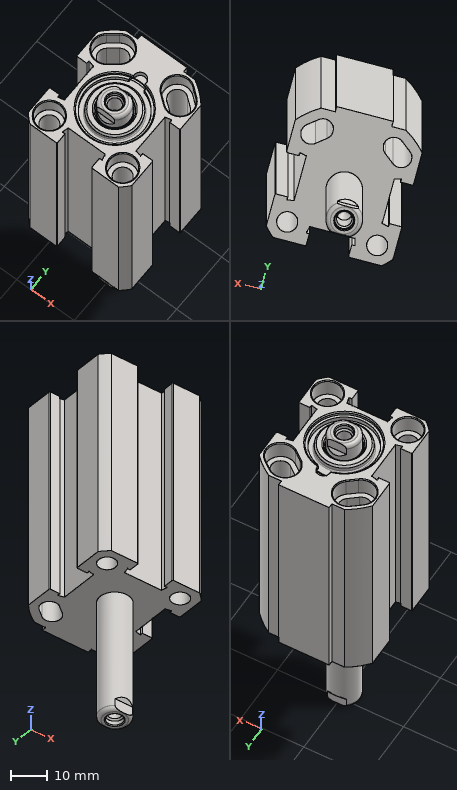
import cadquery as cq
import math


tube_width = 36.0
tube_depth = 40.0
tab_width = 16.0
shoulder_y = 20.5
corner_radius = 23.7
tube_length = 68.1

half_width = tube_width / 2
tab_y = tube_depth - half_width

slot_mouth_half = 6.0
slot_mouth_chamfer = 0.2
slot_inner_half = 6.9
slot_floor_half = 6.4
slot_lip_depth = 3.6
slot_depth = 5.5

mount_offset = 12.8
mount_bore = 5.8
counterbore = 8.8
counterbore_depth = 5.8
counterbore_chamfer = 0.28
long_hole_inner_x = 10.1
long_hole_inner_y = 14.9

rod_diameter = 10.1
rod_top = 4.5
rod_length = 113.0
rod_end_round = 1.2
flat_across = 8.0
flat_length = 3.5
rod_hole = 4.2
rod_hole_depth = 10.2
rod_mouth = 5.2
rod_mouth_depth = 1.6
rod_mouth_chamfer = 0.28
drill_point_angle = 118

collar_diameter = 21.6
collar_length = 13.6
bore_chamfer = 0.3
boss_diameter = 16.5
boss_chamfer = 0.6
boss_top = -0.5
boss_foot_radius = 0.3
collar_recess = 11.4
collar_recess_depth = 3.4
collar_recess_chamfer = 0.5

seal_lip = 10.5
seal_lip_height = 0.9
seal_top = -1.7

ring_outer = 22.8
ring_inner = 20.0
ring_thickness = 1.5
ring_top = -1.1
ring_gap = 5.4
notch_diameter = 4.1
notch_y = 11.3
notch_depth = 2.1

ring_bottom = ring_top - ring_thickness
collar_bottom = ring_bottom - collar_length
recess_floor = boss_top - collar_recess_depth


def cylinder(diameter, z_bottom, z_top):
    """Round bar on the Z axis."""
    return cq.Workplane("XY").workplane(offset=z_bottom).circle(diameter / 2).extrude(z_top - z_bottom)


def cone(diameter_bottom, diameter_top, z_bottom, z_top):
    """Truncated or pointed cone on the Z axis."""
    base = cq.Vector(0, 0, z_bottom)
    solid = cq.Solid.makeCone(diameter_bottom / 2, diameter_top / 2, z_top - z_bottom, base)
    return cq.Workplane(obj=solid)


def tube_blank():
    """Square extrusion with a raised +Y tab and corners turned to one radius."""
    bottom = cq.Workplane("XY").workplane(offset=-tube_length)
    square = bottom.moveTo(0, (shoulder_y - half_width) / 2)
    square = square.rect(tube_width, shoulder_y + half_width).extrude(tube_length)
    tab = bottom.moveTo(0, tab_y / 2).rect(tab_width, tab_y).extrude(tube_length)
    return square.intersect(cylinder(2 * corner_radius, -tube_length, 0)).union(tab)


def side_slot(angle):
    """T-slot cutter for the -Y side, turned about Z by the angle."""
    bottom = cq.Workplane("XY").workplane(offset=-tube_length)
    floor_y = slot_depth - half_width
    lip_y = slot_lip_depth - half_width
    flare_half = slot_mouth_half + slot_mouth_chamfer
    flare_y = slot_mouth_chamfer - half_width
    mouth_outline = [
        (-slot_mouth_half, lip_y),
        (slot_mouth_half, lip_y),
        (slot_mouth_half, flare_y),
        (flare_half, -half_width),
        (-flare_half, -half_width),
        (-slot_mouth_half, flare_y),
    ]
    mouth = bottom.polyline(mouth_outline).close().extrude(tube_length)
    channel_outline = [
        (-slot_inner_half, lip_y),
        (slot_inner_half, lip_y),
        (slot_floor_half, floor_y),
        (-slot_floor_half, floor_y),
    ]
    channel = bottom.polyline(channel_outline).close().extrude(tube_length)
    return mouth.union(channel).rotate((0, 0, 0), (0, 0, 1), angle)


def stepped_hole(start, end):
    """Cutter for a chamfered, counterbored hole that is a slot if its two end centres differ."""
    run = math.dist(start, end)
    angle = math.degrees(math.atan2(end[1] - start[1], end[0] - start[0]))
    middle = ((start[0] + end[0]) / 2, (start[1] + end[1]) / 2)

    def prism(diameter, depth, taper=0):
        sketch = cq.Workplane("XY").center(*middle)
        if run == 0:
            outline = sketch.circle(diameter / 2)
        else:
            outline = sketch.slot2D(run + diameter, diameter, angle)
        return outline.extrude(-depth, taper=taper)

    rim = prism(counterbore + 2 * counterbore_chamfer, counterbore_chamfer, taper=45)
    return prism(mount_bore, tube_length).union(prism(counterbore, counterbore_depth)).union(rim)


def collar_seat():
    """Cutter for the chamfered bore, the ring groove and the opening for the rod."""
    rim_diameter = collar_diameter + 2 * bore_chamfer
    seat = cylinder(rod_diameter, -tube_length, 0)
    seat = seat.union(cylinder(collar_diameter, collar_bottom, 0))
    seat = seat.union(cone(collar_diameter, rim_diameter, -bore_chamfer, 0))
    return seat.union(cylinder(ring_outer, ring_bottom, ring_top))


def build_tube():
    """Extruded tube with T-slots, mounting holes and the collar seat."""
    tube = tube_blank()
    for angle in (-90, 0, 90):
        tube = tube.cut(side_slot(angle))
    for side in (-1, 1):
        round_centre = (side * mount_offset, -mount_offset)
        slot_outer = (side * mount_offset, mount_offset)
        slot_inner = (side * long_hole_inner_x, long_hole_inner_y)
        tube = tube.cut(stepped_hole(round_centre, round_centre))
        tube = tube.cut(stepped_hole(slot_outer, slot_inner))
    tube = tube.cut(collar_seat())
    notch = cq.Workplane("XY").center(0, notch_y).circle(notch_diameter / 2).extrude(-notch_depth)
    return tube.cut(notch)


def end_flat(side):
    """Cutter for one wrench flat at the upper rod end, run out at 45 degrees."""
    near = side * flat_across / 2
    far = side * rod_diameter
    run_out = abs(far - near)
    flat_bottom = rod_top - flat_length
    profile = [(near, rod_top), (near, flat_bottom), (far, flat_bottom - run_out), (far, rod_top)]
    return cq.Workplane("YZ").polyline(profile).close().extrude(rod_diameter, both=True)


def end_hole():
    """Cutter for the stepped centre hole in the upper rod end."""
    hole_bottom = rod_top - rod_hole_depth
    point = rod_hole / 2 / math.tan(math.radians(drill_point_angle / 2))
    hole = cylinder(rod_hole, hole_bottom, rod_top)
    hole = hole.union(cone(0, rod_hole, hole_bottom - point, hole_bottom))
    mouth_floor = rod_top - rod_mouth_depth
    step = (rod_mouth - rod_hole) / 2
    hole = hole.union(cylinder(rod_mouth, mouth_floor, rod_top))
    hole = hole.union(cone(rod_hole, rod_mouth, mouth_floor - step, mouth_floor))
    rim = cone(rod_mouth, rod_mouth + 2 * rod_mouth_chamfer, rod_top - rod_mouth_chamfer, rod_top)
    return hole.union(rim)


def build_rod():
    """Straight rod with rounded ends, each with two flats and a centre hole."""
    rod_middle = rod_top - rod_length / 2
    rod = cylinder(rod_diameter, rod_top - rod_length, rod_top).edges("%CIRCLE").fillet(rod_end_round)
    for cutter in (end_flat(-1), end_flat(1), end_hole()):
        rod = rod.cut(cutter)
        rod = rod.cut(cutter.mirror("XY", (0, 0, rod_middle)))
    return rod


def build_collar():
    """Flanged guide collar with a raised boss and a recess for the rod seal."""
    flange_radius = collar_diameter / 2
    boss_radius = boss_diameter / 2
    mouth_radius = collar_recess / 2 + collar_recess_chamfer
    profile = (
        cq.Workplane("XZ")
        .moveTo(rod_diameter / 2, collar_bottom)
        .lineTo(flange_radius, collar_bottom)
        .lineTo(flange_radius, ring_bottom)
        .lineTo(boss_radius + boss_foot_radius, ring_bottom)
        .radiusArc((boss_radius, ring_bottom + boss_foot_radius), boss_foot_radius)
        .lineTo(boss_radius, boss_top - boss_chamfer)
        .lineTo(boss_radius - boss_chamfer, boss_top)
        .lineTo(mouth_radius, boss_top)
        .lineTo(collar_recess / 2, boss_top - collar_recess_chamfer)
        .lineTo(collar_recess / 2, recess_floor)
        .lineTo(rod_diameter / 2, recess_floor)
        .close()
    )
    return profile.revolve(360, (0, 0, 0), (0, 1, 0))


def build_seal():
    """Ring around the rod with a tapered wiping lip."""
    seal = cylinder(collar_recess, recess_floor, seal_top - seal_lip_height)
    seal = seal.union(cone(collar_recess, seal_lip, seal_top - seal_lip_height, seal_top))
    return seal.cut(cylinder(rod_diameter, recess_floor, seal_top))


def build_snap_ring():
    """Flat split ring that keeps the collar in the tube."""
    ring = cylinder(ring_outer, ring_bottom, ring_top).cut(cylinder(ring_inner, ring_bottom, ring_top))
    gap = cq.Workplane("XY").workplane(offset=ring_bottom).moveTo(0, ring_outer / 2)
    return ring.cut(gap.rect(ring_gap, ring_outer / 2).extrude(ring_thickness))


tube = build_tube()
rod = build_rod()
collar = build_collar()
seal = build_seal()
snap_ring = build_snap_ring()

result = cq.Compound.makeCompound([tube.val(), rod.val(), collar.val(), seal.val(), snap_ring.val()])